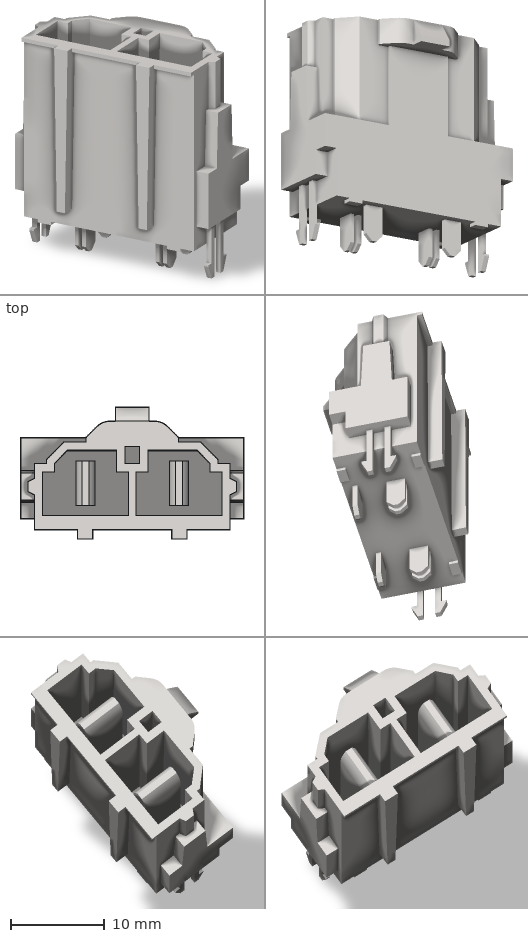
import cadquery as cq
import math


height = 24.55
base_z = 3.93
foot_z = 3.55
ear_bottom_z = 6.55
notch_z = 9.23
shoulder_z = 12.9
ear_top_z = 19.17
latch_bottom_z = 21.75
pocket_floor_z = 5.9
blade_top_z = 20.87
embed = 0.98

half_width = 10.43
depth = 9.28
step_y = 6.53
step_x = 9.15
corner_y = 6.92
corner_x = 7.27
upper_rear_y = 8.85
spine_half_width = 3.68

wall = 0.88
pocket_front_y = 0.95
pocket_step_y = 5.62
pocket_corner_y = 6.53
pocket_rear_y = 7.95
pocket_rear_draft = 0.07
pocket_corner_x = 6.9
pocket_inner_x = 1.7
septum_half = 0.4
keyhole_width = 1.57
keyhole_front_y = 6.53
keyhole_rear_y = 8.35

latch_half_width = 4.95
latch_base_y = 11.05
latch_slope_run = latch_base_y - depth
latch_round = 2.0
hook_half_width = 1.8
hook_tip_y = 12.55
hook_tip_z = 22.41

lip_height = 0.45
lip_depth = 0.56
rib_depth = 1.55
rib_bottom_z = 5.95
rib_x = 5.03
rib_top_width = 1.65
rib_bottom_width = 1.0

key_reach = 0.66
key_center_y = 4.05
key_root_width = 1.77
key_tip_width = 1.08
ear_reach = 1.47
ear_front_y = 0.61
notch_y = 7.46
tongue_center_y = 4.08
tongue_root_width = 3.41
tongue_tip_width = 2.9

clip_thickness = 0.6
clip_center_y = 4.05
clip_gap = 1.35
clip_leg = 0.65
clip_tip = 0.56
barb_reach = 0.6
barb_top_z = 1.75
barb_edge_z = 1.52

contact_pitch = 9.95
contact_x = contact_pitch / 2
contact_width = 2.04
blade_front_y = 2.05
blade_rear_y = 6.8
blade_flat = 0.74
blade_round = 2.95
tail_chamfer = 0.74
rear_tail_y = 7.65
rear_tail_thickness = 0.56
fork_center_y = 3.55
fork_plate = 0.47
fork_gap = 0.45

foot_center_x = 7.95
foot_width = 1.65
foot_depth = 1.0


def box(x0, x1, y0, y1, z0, z1):
    """Box between two opposite corners."""
    return cq.Workplane("XY").box(x1 - x0, y1 - y0, z1 - z0, centered=False).translate((x0, y0, z0))


def plate_z(points, z0, z1):
    """Outline in XY, extruded from z0 to z1."""
    return cq.Workplane("XY").workplane(offset=z0).polyline(points).close().extrude(z1 - z0)


def plate_x(points, x0, x1):
    """Outline in YZ, extruded from x0 to x1."""
    return cq.Workplane("YZ").workplane(offset=x0).polyline(points).close().extrude(x1 - x0)


def plate_y(points, y0, y1):
    """Outline in XZ, extruded from y0 to y1."""
    return cq.Workplane("XZ").workplane(offset=-y0).polyline(points).close().extrude(y0 - y1)


def both_sides(shape):
    """A shape together with its mirror image across the middle plane X = 0."""
    return shape.union(shape.mirror("YZ"))


def symmetric_outline(right_half):
    """Close a right-hand chain of points with its mirrored left-hand chain."""
    return right_half + [(-x, y) for x, y in reversed(right_half)]


def housing():
    lower = box(-half_width, half_width, 0, depth, base_z, shoulder_z)
    upper_outline = symmetric_outline([
        (half_width, 0),
        (half_width, step_y),
        (step_x, step_y),
        (step_x, corner_y),
        (corner_x, upper_rear_y),
    ])
    upper = plate_z(upper_outline, shoulder_z, height)
    spine = box(-spine_half_width, spine_half_width, step_y, depth, shoulder_z, height)
    lip = box(-half_width, half_width, -lip_depth, 0, height - lip_height, height)
    return lower.union(upper).union(spine).union(lip)


def latch():
    outline = symmetric_outline([
        (latch_half_width, upper_rear_y),
        (latch_half_width, depth),
        (latch_half_width - latch_slope_run, latch_base_y),
    ])
    plate = plate_z(outline, latch_bottom_z, height)
    plate = plate.edges("|Z").edges(">Y").fillet(latch_round)
    hook_profile = [
        (depth, latch_bottom_z),
        (hook_tip_y, latch_bottom_z),
        (hook_tip_y, hook_tip_z),
        (latch_base_y, height),
        (depth, height),
    ]
    return plate.union(plate_x(hook_profile, -hook_half_width, hook_half_width))


def rib():
    profile = [
        (rib_x - rib_bottom_width / 2, rib_bottom_z),
        (rib_x + rib_bottom_width / 2, rib_bottom_z),
        (rib_x + rib_top_width / 2, height),
        (rib_x - rib_top_width / 2, height),
    ]
    return plate_y(profile, -rib_depth, 0)


def side_key():
    outline = [
        (half_width, key_center_y - key_root_width / 2),
        (half_width + key_reach, key_center_y - key_tip_width / 2),
        (half_width + key_reach, key_center_y + key_tip_width / 2),
        (half_width, key_center_y + key_root_width / 2),
    ]
    return plate_z(outline, shoulder_z, height)


def ear():
    profile = [
        (ear_front_y, ear_bottom_z),
        (notch_y, ear_bottom_z),
        (notch_y, notch_z),
        (depth, notch_z),
        (depth, shoulder_z),
        (tongue_center_y + tongue_root_width / 2, shoulder_z),
        (tongue_center_y + tongue_tip_width / 2, ear_top_z),
        (tongue_center_y - tongue_tip_width / 2, ear_top_z),
        (tongue_center_y - tongue_root_width / 2, shoulder_z),
        (ear_front_y, shoulder_z),
    ]
    return plate_x(profile, half_width, half_width + ear_reach)


def board_clip():
    """Pair of spring legs with outward barbs."""
    legs = cq.Workplane("XY")
    for direction in (-1, 1):
        inner_y = clip_center_y + direction * clip_gap / 2
        outer_y = inner_y + direction * clip_leg
        barb_y = outer_y + direction * barb_reach
        profile = [
            (inner_y, ear_bottom_z + embed),
            (inner_y, 0),
            (inner_y + direction * clip_tip, 0),
            (barb_y, barb_edge_z),
            (barb_y, barb_top_z),
            (outer_y, barb_top_z),
            (outer_y, ear_bottom_z + embed),
        ]
        legs = legs.union(plate_x(profile, half_width, half_width + clip_thickness))
    return legs


def foot(y0):
    return box(
        foot_center_x - foot_width / 2, foot_center_x + foot_width / 2,
        y0, y0 + foot_depth, foot_z, base_z,
    )


def pocket():
    """Right-hand contact pocket; its rear wall leans forward towards the floor."""
    outline = [
        (septum_half, pocket_front_y),
        (half_width - wall, pocket_front_y),
        (half_width - wall, pocket_step_y),
        (step_x - wall, pocket_step_y),
        (step_x - wall, pocket_corner_y),
        (pocket_corner_x, pocket_rear_y),
        (pocket_inner_x, pocket_rear_y),
        (pocket_inner_x, pocket_step_y),
        (septum_half, pocket_step_y),
    ]
    wedge = [
        (pocket_rear_y, pocket_floor_z),
        (pocket_rear_y - pocket_rear_draft, pocket_floor_z),
        (pocket_rear_y, height),
    ]
    lean = plate_x(wedge, pocket_inner_x, step_x)
    return plate_z(outline, pocket_floor_z, height).cut(lean)


def keyhole():
    return box(
        -keyhole_width / 2, keyhole_width / 2,
        keyhole_front_y, keyhole_rear_y, pocket_floor_z, height,
    )


def tapered_tail(center):
    """Outline of a tail with both lower corners cut back."""
    half = contact_width / 2
    return [
        (center - half, base_z + embed),
        (center - half, tail_chamfer),
        (center - half + tail_chamfer, 0),
        (center + half - tail_chamfer, 0),
        (center + half, tail_chamfer),
        (center + half, base_z + embed),
    ]


def blade():
    """Mating blade; each top shoulder is an arc tangent to the blade's side."""
    half = contact_width / 2
    flat = blade_flat / 2
    sweep = math.acos(1 - (half - flat) / blade_round)
    side_top_z = blade_top_z - blade_round * math.sin(sweep)
    arc_x = half - blade_round * (1 - math.cos(sweep / 2))
    arc_z = side_top_z + blade_round * math.sin(sweep / 2)
    return (
        cq.Workplane("XZ").workplane(offset=-blade_front_y)
        .moveTo(-half, pocket_floor_z - embed)
        .lineTo(half, pocket_floor_z - embed)
        .lineTo(half, side_top_z)
        .threePointArc((arc_x, arc_z), (flat, blade_top_z))
        .lineTo(-flat, blade_top_z)
        .threePointArc((-arc_x, arc_z), (-half, side_top_z))
        .close()
        .extrude(blade_front_y - blade_rear_y)
        .translate((contact_x, 0, 0))
    )


def contact():
    """Blade, rear tail and two-pronged front tail."""
    rear_profile = tapered_tail(contact_x)
    shape = blade().union(plate_y(rear_profile, rear_tail_y, rear_tail_y + rear_tail_thickness))
    fork_profile = tapered_tail(fork_center_y)
    for x0 in (contact_x - fork_gap / 2 - fork_plate, contact_x + fork_gap / 2):
        shape = shape.union(plate_x(fork_profile, x0, x0 + fork_plate))
    return shape


result = housing().union(latch())
for feature in (rib(), side_key(), ear(), board_clip(), foot(0), foot(depth - foot_depth)):
    result = result.union(both_sides(feature))
result = result.cut(both_sides(pocket())).cut(keyhole())
result = result.union(both_sides(contact()))